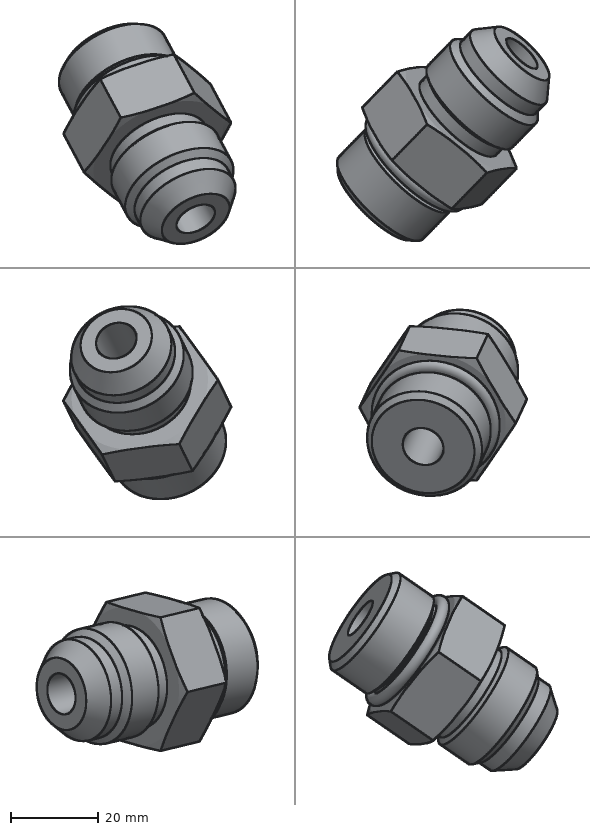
import cadquery as cq
import math


thread_dia = 26.95
neck_dia = 24.05
nose_dia = 23.7
bore_dia = 9.55
hex_across_flats = 31.75
hex_chamfer_dia = 32.3
ring_section_dia = 2.95

port_thread_end = 10.95
hex_start = 14.95
hex_end = 28.2
tube_thread_start = 32.25
tube_thread_end = 40.45
flare_start = 45.5
length = 50.05

lead_angle = 45
runout_angle = 60
flare_angle = 37
hex_chamfer_angle = 15

thread_r = thread_dia / 2
neck_r = neck_dia / 2
nose_r = nose_dia / 2
hex_across_corners = hex_across_flats / math.cos(math.pi / 6)


def slope_length(radial_step, angle):
    """Axial length of a cone that changes radius by radial_step."""
    return radial_step / math.tan(math.radians(angle))


def turned_body():
    """Stepped round body with both threads, both necks and the flare nose."""
    lead = slope_length(thread_r - neck_r, lead_angle)
    runout = slope_length(thread_r - neck_r, runout_angle)
    nose_lead = slope_length(thread_r - nose_r, lead_angle)
    tip_r = nose_r - (length - flare_start) * math.tan(math.radians(flare_angle))
    profile = [
        (0, 0),
        (0, neck_r),
        (lead, thread_r),
        (port_thread_end, thread_r),
        (port_thread_end + runout, neck_r),
        (tube_thread_start - runout, neck_r),
        (tube_thread_start, thread_r),
        (tube_thread_end, thread_r),
        (tube_thread_end + nose_lead, nose_r),
        (flare_start, nose_r),
        (length, tip_r),
        (length, 0),
    ]
    return cq.Workplane("XY").polyline(profile).close().revolve(360, (0, 0), (1, 0))


def hexagon():
    """Hexagon with flats facing +Z and -Z, its corners chamfered at both ends."""
    prism = (
        cq.Workplane("YZ", origin=(hex_start, 0, 0))
        .polygon(6, hex_across_corners)
        .extrude(hex_end - hex_start)
    )
    chamfer_r = hex_chamfer_dia / 2
    corner_r = hex_across_corners / 2
    chamfer = (corner_r - chamfer_r) * math.tan(math.radians(hex_chamfer_angle))
    envelope_profile = [
        (hex_start, 0),
        (hex_start, chamfer_r),
        (hex_start + chamfer, corner_r),
        (hex_end - chamfer, corner_r),
        (hex_end, chamfer_r),
        (hex_end, 0),
    ]
    envelope = cq.Workplane("XY").polyline(envelope_profile).close().revolve(360, (0, 0), (1, 0))
    return prism.intersect(envelope)


def make_fitting():
    """Turned body and hexagon in one piece, with the bore passing through."""
    bore = cq.Workplane("YZ").circle(bore_dia / 2).extrude(length)
    return turned_body().union(hexagon()).cut(bore)


def make_o_ring():
    """O-ring resting on the port neck and against the hexagon face."""
    section_r = ring_section_dia / 2
    ring_x = hex_start - section_r
    ring_r = neck_r + section_r
    return (
        cq.Workplane("XY")
        .center(ring_x, ring_r)
        .circle(section_r)
        .revolve(360, (0, -ring_r), (1, -ring_r))
    )


fitting = make_fitting()
o_ring = make_o_ring()

result = cq.Compound.makeCompound([fitting.val(), o_ring.val()])